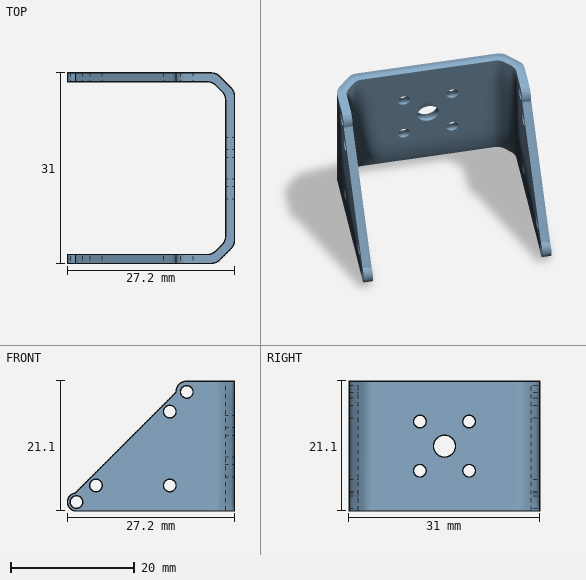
import cadquery as cq
import math

length = 27.2
width = 31.0
height = 21.15
thickness = 1.5

outer_bevel = 3.0
inner_bevel = outer_bevel - (2 - math.sqrt(2)) * thickness
bend_radius = 2.0

lower_lug_radius = 1.5
upper_lug_radius = 1.77
upper_lug_x = 19.4
upper_lug_z = height - upper_lug_radius
slope_rise = 1.67
slope_start_x = lower_lug_radius - slope_rise / 2

small_hole = 2.0
center_hole = 3.53
flange_pitch = 12.0
flange_corner_x = 16.65
flange_corner_z = 4.2
web_pitch = 8.0


def bevelled_block(x_end, block_width, bevel):
    """Full-height block with its two +X corners bevelled and rounded."""
    half = block_width / 2
    outline = [
        (0, -half),
        (x_end - bevel, -half),
        (x_end, -half + bevel),
        (x_end, half - bevel),
        (x_end - bevel, half),
        (0, half),
    ]
    block = cq.Workplane("XY").polyline(outline).close().extrude(height)
    return block.edges("|Z and (not <X)").fillet(bend_radius)


def across_y():
    """XZ sketch plane on the +Y face; extrusions run toward -Y."""
    return cq.Workplane("XZ", origin=(0, width / 2, 0))


def side_profile():
    """Solid of the flange outline, spanning the full width."""
    outline = [
        (lower_lug_radius, 0),
        (length, 0),
        (length, height),
        (upper_lug_x, height),
        (upper_lug_x, upper_lug_z),
        (upper_lug_z - slope_rise, upper_lug_z),
        (slope_start_x, slope_start_x + slope_rise),
    ]
    body = across_y().polyline(outline).close().extrude(width)
    lower_lug = across_y().center(lower_lug_radius, lower_lug_radius).circle(lower_lug_radius).extrude(width)
    upper_lug = across_y().center(upper_lug_x, upper_lug_z).circle(upper_lug_radius).extrude(width)
    return body.union(lower_lug).union(upper_lug)


def flange_holes():
    """Lug holes and the three-hole pattern, through both flanges."""
    centers = [
        (lower_lug_radius, lower_lug_radius),
        (upper_lug_x, upper_lug_z),
        (flange_corner_x, flange_corner_z),
        (flange_corner_x - flange_pitch, flange_corner_z),
        (flange_corner_x, flange_corner_z + flange_pitch),
    ]
    return across_y().pushPoints(centers).circle(small_hole / 2).extrude(width)


def web_holes():
    """Central hole with four small holes around it, through the web."""
    plane = cq.Workplane("YZ", origin=(length - thickness, 0, height / 2))
    middle = plane.circle(center_hole / 2).extrude(thickness)
    corners = plane.rect(web_pitch, web_pitch, forConstruction=True).vertices()
    return middle.union(corners.circle(small_hole / 2).extrude(thickness))


channel = bevelled_block(length, width, outer_bevel).cut(
    bevelled_block(length - thickness, width - 2 * thickness, inner_bevel)
)
result = channel.intersect(side_profile()).cut(flange_holes()).cut(web_holes())